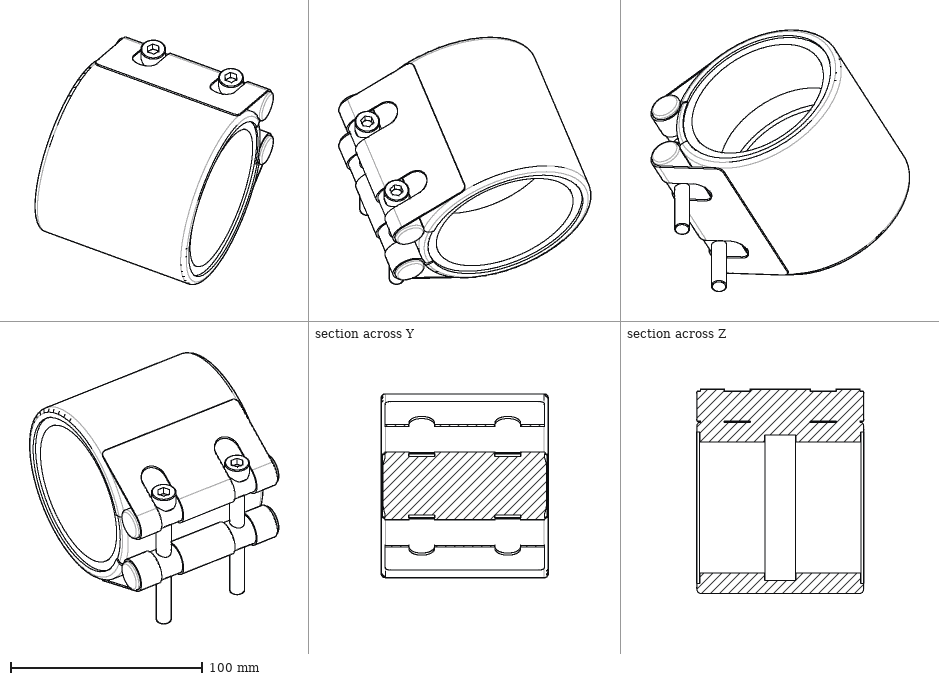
import math
import cadquery as cq


length = 87.4
casing_radius = 48.1
sheet = 1.0
bridge_inset = 0.75
edge_radius = 2.2
lip_inner_radius = 42.9
gap_half_angle = 20.5

sleeve_end_recess = 1.5
bore_radius = 38.05
groove_radius = 41.5
groove_width = 16.0

pin_radius = 8.0
pin_edge = 1.0
loop_radius = pin_radius + sheet
loop_outer_y = 62.03
pin_y = loop_outer_y - loop_radius
pin_z = 17.8
strap_width = 83.4
strap_corner = 3.0
strap_sink = 0.15
strap_overrun = 1.0
slot_width = 13.4
slot_end_y = 36.6

screw_x = 22.5
shank_radius = 3.95
shank_bottom_z = -56.9
shank_chamfer = 0.5
head_radius = 6.5
head_height = 8.0
head_top_z = 31.0
head_chamfer = 0.5
socket_flats = 6.0
socket_depth = 4.0
drill_point_depth = 1.7


def x_cylinder(radius, width, y=0, z=0):
    """Cylinder along X, centred on X = 0."""
    return cq.Workplane("YZ", origin=(-width / 2, y, z)).circle(radius).extrude(width)


def rounded_drum(radius, width):
    """Solid cylinder along X with both rims rounded."""
    return x_cylinder(radius, width).edges("%CIRCLE").fillet(edge_radius)


def gap_sector():
    """Wedge that opens the casing on the +Y side."""
    reach = 2 * casing_radius
    half_height = reach * math.tan(math.radians(gap_half_angle))
    profile = [(0, 0), (reach, -half_height), (reach, half_height)]
    return cq.Workplane("YZ").polyline(profile).close().extrude(length, both=True)


def make_casing():
    """Casing and, slightly further in, the bridge that closes its gap."""
    bridge = rounded_drum(casing_radius - bridge_inset, length - 2 * bridge_inset)
    casing = rounded_drum(casing_radius, length).cut(gap_sector()).union(bridge)
    return casing.cut(x_cylinder(lip_inner_radius, length))


def make_sleeve():
    sleeve_length = length - 2 * sleeve_end_recess
    sleeve = x_cylinder(lip_inner_radius, sleeve_length)
    groove = x_cylinder(groove_radius, groove_width)
    return sleeve.cut(x_cylinder(bore_radius, length)).cut(groove)


def make_pin():
    return x_cylinder(pin_radius, length, pin_y, pin_z).edges("%CIRCLE").fillet(pin_edge)


def make_strap():
    """Open loop around the upper pin, with a flat tail running tangent to the casing."""
    tail_face = casing_radius - strap_sink + sheet
    pin_distance = math.hypot(pin_y, pin_z)
    normal_angle = math.atan2(pin_z, pin_y) + math.acos((tail_face - loop_radius) / pin_distance)
    across = cq.Vector(0, math.cos(normal_angle), math.sin(normal_angle))
    along = cq.Vector(0, -across.z, across.y)
    pin_centre = cq.Vector(0, pin_y, pin_z)
    tail_length = strap_overrun - pin_centre.dot(along)

    tail_plane = cq.Plane(origin=pin_centre + across * (loop_radius - sheet), xDir=along, normal=across)
    tail = (
        cq.Workplane(tail_plane)
        .rect(tail_length, strap_width)
        .extrude(sheet)
        .translate(along * (tail_length / 2))
    )
    corners = tail.faces(cq.selectors.DirectionMinMaxSelector(along)).edges(
        cq.selectors.ParallelDirSelector(across)
    )
    tail = tail.newObject(corners.vals()).fillet(strap_corner)

    loop = x_cylinder(loop_radius, strap_width, pin_y, pin_z)
    loop = loop.cut(x_cylinder(pin_radius, strap_width, pin_y, pin_z)).cut(loop_opening(across))
    strap = loop.union(tail)
    for x in (-screw_x, screw_x):
        strap = strap.cut(screw_slot(x))
    return strap


def loop_opening(tail_normal):
    """Wedge left uncovered between the tail and the side of the pin facing the casing."""
    reach = 2 * loop_radius
    to_tail = (reach * tail_normal.y, reach * tail_normal.z)
    to_casing = (-reach, 0)
    corner = (to_casing[0], to_tail[1])
    return (
        cq.Workplane("YZ", origin=(-strap_width / 2, pin_y, pin_z))
        .polyline([(0, 0), to_tail, corner, to_casing])
        .close()
        .extrude(strap_width)
    )


def screw_slot(x):
    """Round-ended vertical cutter that frees the strap around one screw."""
    round_y = slot_end_y + slot_width / 2
    open_y = pin_y + 2 * loop_radius
    slot = cq.Workplane("XY").center(x, round_y).circle(slot_width / 2).extrude(casing_radius)
    run = (
        cq.Workplane("XY")
        .center(x, (round_y + open_y) / 2)
        .rect(slot_width, open_y - round_y)
        .extrude(casing_radius)
    )
    return slot.union(run)


def make_screw(x):
    """Cap screw and the hexagonal socket to cut from its head."""
    head_base_z = head_top_z - head_height
    head = cq.Workplane("XY", origin=(x, pin_y, head_base_z)).circle(head_radius).extrude(head_height)
    head = head.faces(">Z").edges().chamfer(head_chamfer)
    shank = (
        cq.Workplane("XY", origin=(x, pin_y, shank_bottom_z))
        .circle(shank_radius)
        .extrude(head_base_z - shank_bottom_z)
        .faces("<Z")
        .edges()
        .chamfer(shank_chamfer)
    )
    socket_corners = socket_flats / math.cos(math.radians(30))
    socket = cq.Workplane("XY", origin=(x, pin_y, head_top_z))
    socket = socket.polygon(6, socket_corners).extrude(-socket_depth)
    point = cq.Workplane(
        cq.Solid.makeCone(
            socket_flats / 2,
            0,
            drill_point_depth,
            pnt=cq.Vector(x, pin_y, head_top_z - socket_depth),
            dir=cq.Vector(0, 0, -1),
        )
    )
    return head.union(shank), socket.union(point)


result = make_casing().union(make_sleeve())
for part in (make_pin(), make_strap()):
    result = result.union(part).union(part.mirror("XY"))
for x in (-screw_x, screw_x):
    screw, socket = make_screw(x)
    result = result.union(screw).cut(socket)